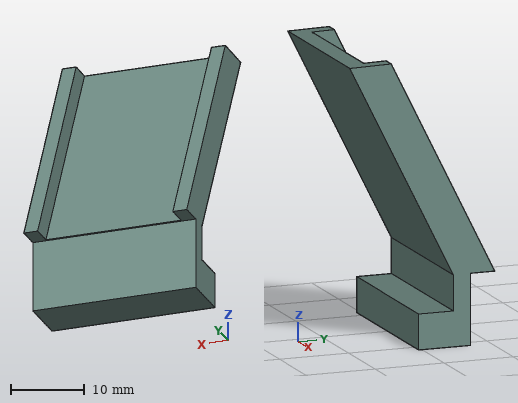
import cadquery as cq

width = 23.5
height = 40.1

foot_depth = 7.5
foot_height = 5.0
web_thickness = 2.5
web_top = 10.05

channel_depth = 6.0
channel_lean = 15.0
channel_front_top = 40.0
floor_thickness = 2.8
side_wall = 2.0

web_front = 0.0
web_back = web_front + web_thickness
foot_front = web_back - foot_depth


def extrude_profile(points, length):
    """Extrude a YZ outline along X, centred on the YZ plane."""
    return cq.Workplane("YZ").polyline(points).close().extrude(length / 2, both=True)


base = extrude_profile(
    [
        (foot_front, 0),
        (web_back, 0),
        (web_back, web_top),
        (web_front, web_top),
        (web_front, foot_height),
        (foot_front, foot_height),
    ],
    width,
)

channel_back = web_front + channel_depth
slab = extrude_profile(
    [
        (web_front, web_top),
        (channel_back, web_top),
        (channel_back - channel_lean, height),
        (web_front - channel_lean, channel_front_top),
    ],
    width,
)

lean_per_height = channel_lean / (channel_front_top - web_top)
top_shift = lean_per_height * (height - web_top)
recess_front = web_front + floor_thickness
recess = extrude_profile(
    [
        (recess_front, web_top),
        (recess_front + channel_depth, web_top),
        (recess_front + channel_depth - top_shift, height),
        (recess_front - top_shift, height),
    ],
    width - 2 * side_wall,
)

result = base.union(slab.cut(recess))